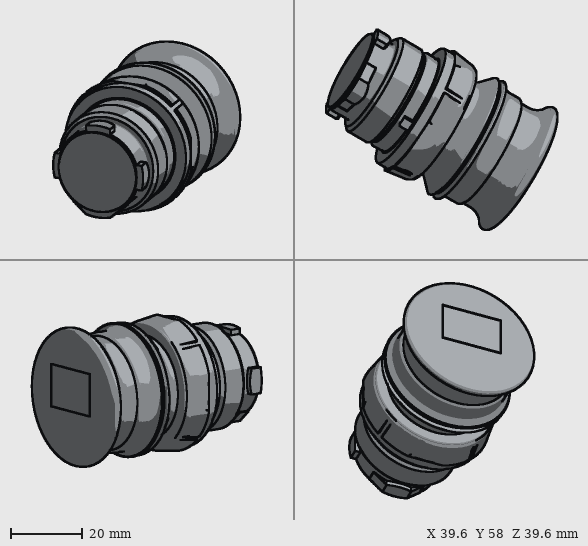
import cadquery as cq
import math


length = 58.0
lip_radius = 39.6 / 2

nose_radius = 12.3
nose_face_radius = 11.85
nose_face_depth = 0.6
lug_radius = 13.8
lug_half_width = 3.7
lug_side_end = 3.75
lug_tip = 4.75
flare_half_width = 7.7
flare_height = 9.8

barrel_front = 7.15
barrel_length = 8.45
barrel_radius = 15.15
barrel_chamfer = 1.05
nose_fillet = 0.45
groove_radius = 14.05
groove_back = 16.2
shank_radius = 14.95
rim_round = 0.6
shank_root_radius = 15.3
shank_root_depth = 0.2
key_front = 17.3
key_height = 16.25
key_width = 2.9
key_round = 0.5

collar_front = 20.1
collar_back = 31.05
collar_radius = 18.7
collar_taper_end = 21.3
collar_taper = 0.1
collar_round_start = 28.55
collar_shoulder = (18.05, 30.45)
collar_back_radius = 17.35
panel_front = 23.1
panel_flat_distance = 18.75
panel_radius = 19.45
slot_width = 1.5

neck_radius = 14.85
neck_base_radius = 14.6
neck_front = 31.7
neck_back = 32.3
neck_cone_start = (15.85, 34.35)

ridge_rise = 2.9
front_ridge_tip = (18.9, 37.5)
front_ridge_back = (18.7, 37.8)
valley_radius = 17.6
valley_center = 38.5
valley_half_width = 0.3
back_ridge_front = (18.8, 39.3)
back_ridge_tip = (19.1, 39.7)
back_ridge_back = (18.85, 40.0)
back_ridge_bevel = 0.25

ring_radius = 17.15
ring_front = 42.75
ring_round_start = 45.65
ring_back = 46.7
grip_radius = 16.25
flare_start = 49.75
lip_front = (19.0, 54.7)
lip_center = 55.75
lip_back = (19.25, 56.85)

pad_thickness = 0.205
pad_width = 17.7
pad_height = 12.2
pad_center_z = 2.25
back_face = length - pad_thickness
back_face_radius = 16.05


def disc(radius, start, end):
    """Solid cylinder on the Y axis between two axial positions."""
    return cq.Workplane("XZ", origin=(0, start, 0)).circle(radius).extrude(start - end)


def turned_body():
    """Everything that is round about the Y axis, as (radius, axial position) outline."""
    groove_front = barrel_front + barrel_length
    valley_edge_radius = valley_radius + valley_half_width
    outline = (
        cq.Workplane("XY")
        .lineTo(nose_face_radius, 0)
        .lineTo(nose_face_radius, nose_face_depth)
        .lineTo(nose_radius, nose_face_depth)
        .lineTo(nose_radius, barrel_front - nose_fillet)
        .radiusArc((nose_radius + nose_fillet, barrel_front), nose_fillet)
        .lineTo(barrel_radius - barrel_chamfer, barrel_front)
        .lineTo(barrel_radius, barrel_front + barrel_chamfer)
        .lineTo(barrel_radius, groove_front - barrel_chamfer)
        .lineTo(groove_radius, groove_front)
        .lineTo(groove_radius, groove_back)
        .lineTo(barrel_radius - rim_round, groove_back)
        .radiusArc((barrel_radius, groove_back + rim_round), -rim_round)
        .lineTo(shank_radius, collar_front - shank_root_depth)
        .lineTo(shank_root_radius, collar_front)
        .lineTo(collar_radius - collar_taper, collar_front)
        .lineTo(collar_radius, collar_taper_end)
        .lineTo(collar_radius, collar_round_start)
        .threePointArc((18.5, 29.5), collar_shoulder)
        .threePointArc((17.8, 30.85), (collar_back_radius, collar_back))
        .lineTo(neck_base_radius, collar_back)
        .threePointArc((14.8, 31.4), (neck_radius, neck_front))
        .lineTo(neck_radius, neck_back)
        .threePointArc((15.1, 33.3), neck_cone_start)
        .line(ridge_rise, ridge_rise)
        .threePointArc(front_ridge_tip, front_ridge_back)
        .lineTo(valley_edge_radius, valley_center - valley_half_width)
        .threePointArc(
            (valley_radius, valley_center),
            (valley_edge_radius, valley_center + valley_half_width),
        )
        .lineTo(*back_ridge_front)
        .threePointArc(back_ridge_tip, back_ridge_back)
        .line(-back_ridge_bevel, back_ridge_bevel)
        .threePointArc((17.5, 41.3), (ring_radius, ring_front))
        .lineTo(ring_radius, ring_round_start)
        .threePointArc((16.95, 46.3), (grip_radius, ring_back))
        .lineTo(grip_radius, flare_start)
        .threePointArc((16.95, 52.3), lip_front)
        .threePointArc((lip_radius, lip_center), lip_back)
        .threePointArc((17.9, 57.5), (back_face_radius, back_face))
        .lineTo(0, back_face)
        .close()
    )
    return outline.revolve(360, (0, 0, 0), (0, 1, 0))


def grip_panels():
    """Conical band on the collar, cut by four flats and by four slots on the diagonals."""
    band = (
        cq.Workplane("XY")
        .moveTo(nose_radius, panel_front)
        .lineTo(panel_radius, panel_front)
        .lineTo(collar_radius, collar_round_start)
        .lineTo(nose_radius, collar_round_start)
        .close()
        .revolve(360, (0, 0, 0), (0, 1, 0))
    )
    middle = (panel_front + collar_round_start) / 2
    flats = cq.Workplane("XY").box(2 * panel_flat_distance, length, 2 * panel_flat_distance)
    band = band.intersect(flats.translate((0, middle, 0)))
    for angle in (45, 135):
        slot = cq.Workplane("XY").box(2 * lip_radius, length, slot_width)
        band = band.cut(slot.translate((0, middle, 0)).rotate((0, 0, 0), (0, 1, 0), angle))
    return band


def bayonet_lug(angle):
    """Lug pointing along +Z with an arched back end, turned about Y."""
    return (
        cq.Workplane("XY")
        .moveTo(-lug_half_width, nose_face_depth)
        .lineTo(lug_half_width, nose_face_depth)
        .lineTo(lug_half_width, lug_side_end)
        .threePointArc((0, lug_tip), (-lug_half_width, lug_side_end))
        .close()
        .extrude(lug_radius)
        .intersect(disc(lug_radius, nose_face_depth, lug_tip))
        .rotate((0, 0, 0), (0, 1, 0), angle)
    )


def lug_flare():
    """Sloping shoulders on both sides of the bottom lug."""
    corner_height = math.sqrt(lug_radius**2 - lug_half_width**2)
    return (
        cq.Workplane("XZ", origin=(0, nose_face_depth, 0))
        .polyline([
            (0, 0),
            (flare_half_width, -flare_height),
            (lug_half_width, -corner_height),
            (-lug_half_width, -corner_height),
            (-flare_half_width, -flare_height),
        ])
        .close()
        .extrude(nose_face_depth - lug_side_end)
    )


def locating_key():
    """Small key under the shank, rounded at its front lower edge."""
    depth = collar_front - key_front
    return (
        cq.Workplane("XY")
        .box(key_width, depth, key_height, centered=(True, False, False))
        .translate((0, key_front, -key_height))
        .faces("<Y")
        .edges("<Z")
        .fillet(key_round)
    )


def label_pad():
    """Thin rectangular pad on the back face."""
    return (
        cq.Workplane("XY")
        .box(pad_width, pad_thickness, pad_height)
        .translate((0, length - pad_thickness / 2, pad_center_z))
    )


result = turned_body().union(grip_panels())
for lug_angle in (0, 90, 180, 270):
    result = result.union(bayonet_lug(lug_angle))
result = result.union(lug_flare()).union(locating_key()).union(label_pad())